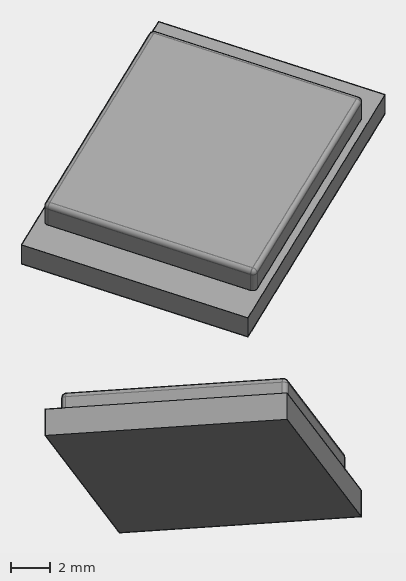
import cadquery as cq

plate_width = 12.5
plate_length = 17.0
plate_thickness = 1.4

total_height = 2.8
cover_width = 11.7
cover_length = 13.4
cover_height = total_height - plate_thickness
cover_edge_radius = 0.25


def make_plate():
    return cq.Workplane("XY").box(
        plate_width, plate_length, plate_thickness, centered=(True, True, False)
    )


def make_cover():
    """Block with its four upright edges and its top rim rounded."""
    block = cq.Workplane("XY", origin=(0, 0, plate_thickness)).box(
        cover_width, cover_length, cover_height, centered=(True, True, False)
    )
    return block.edges("|Z or >Z").fillet(cover_edge_radius)


result = make_plate().union(make_cover())